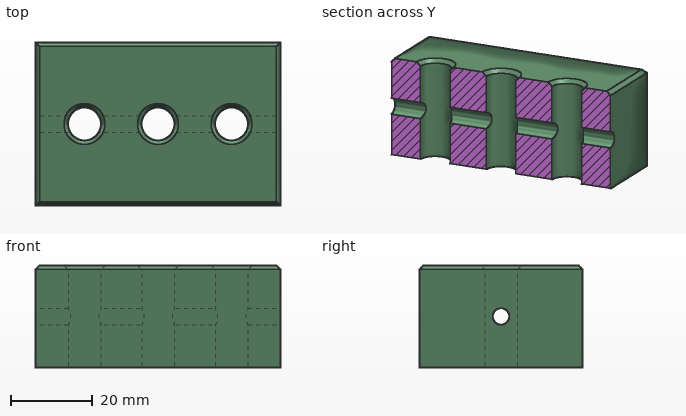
import cadquery as cq

length = 60.0
width = 40.0
height = 25.0
edge_chamfer = 1.0

hole_count = 3
hole_pitch = 18.0
hole_diameter = 8.0
hole_chamfer = 1.0

cross_hole_diameter = 4.0
cross_hole_height = height / 2


def make_block():
    """Rectangular block with a chamfer around its top face."""
    block = cq.Workplane("XY").box(length, width, height, centered=(True, True, False))
    return block.faces(">Z").edges().chamfer(edge_chamfer)


def vertical_hole_cutter(x):
    """Through hole at x with a 45 degree countersink at the top."""
    radius = hole_diameter / 2
    mouth_radius = radius + hole_chamfer
    profile = (
        cq.Workplane("XZ")
        .lineTo(radius, 0)
        .lineTo(radius, height - hole_chamfer)
        .lineTo(mouth_radius, height)
        .lineTo(0, height)
        .close()
    )
    axis_start = (0, 0)
    axis_end = (0, 1)
    return profile.revolve(360, axis_start, axis_end).translate((x, 0, 0))


def cross_hole_cutter():
    """Through hole along the full length of the block."""
    return (
        cq.Workplane("YZ", origin=(-length / 2, 0, cross_hole_height))
        .circle(cross_hole_diameter / 2)
        .extrude(length)
    )


result = make_block()
for index in range(hole_count):
    hole_x = (index - (hole_count - 1) / 2) * hole_pitch
    result = result.cut(vertical_hole_cutter(hole_x))
result = result.cut(cross_hole_cutter())